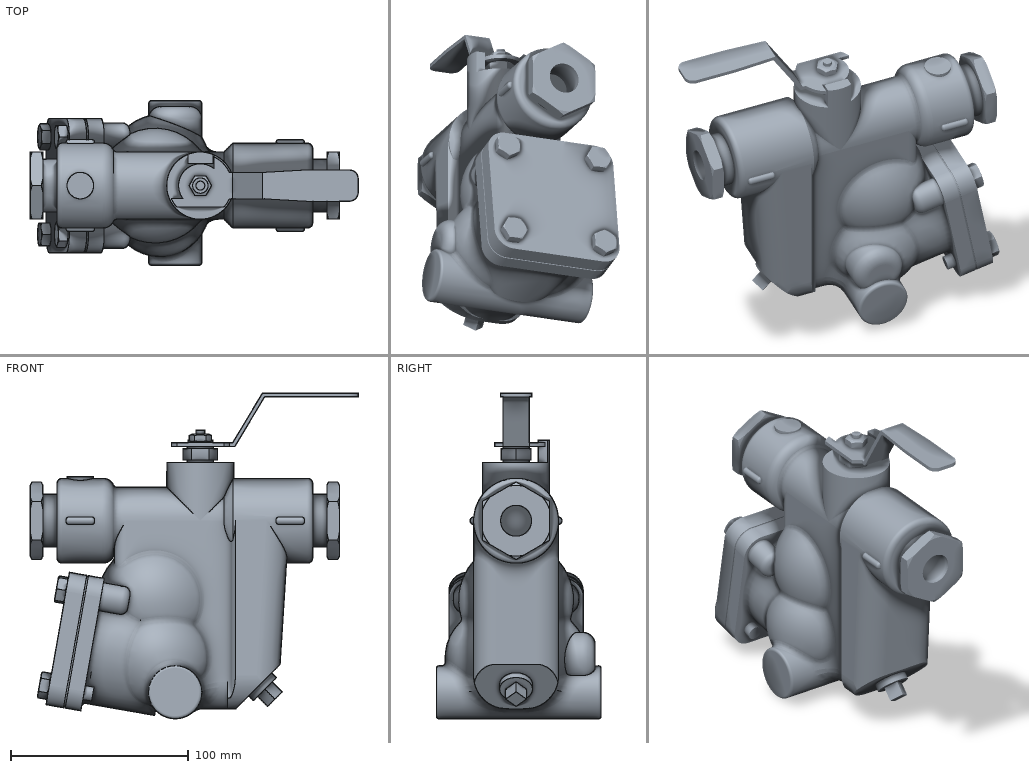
import cadquery as cq
import math


pipe_diameter = 38.0
socket_diameter = 48.0
pipe_radius = pipe_diameter / 2
socket_radius = socket_diameter / 2
inlet_end = -81.0
inlet_shoulder = -55.0
inlet_round = 6.5
inlet_round_length = 6.0
inlet_hollow_radius = 2.5
inlet_hollow_end = -46.7
outlet_end = 63.5
outlet_cone_start = 13.3
socket_edge_round = 3.0

reducer_neck_diameter = 30.0
reducer_neck_length = 7.9
reducer_hex_flats = 38.0
reducer_hex_length = 7.2
reducer_bore_diameter = 17.48
reducer_bore_depth = 18.0

rib_length = 16.0
rib_width = 4.2
rib_end_round = 1.5
rib_reach = 26.0
inlet_rib_x = -67.8
outlet_rib_x = 50.8
pad_diameter = 15.0
pad_top = 24.9

body_bottom = -106.2
wall_left = -48.5
wall_left_round = 6.5
wall_left_bottom = -45.0
narrow_wall_inner_x = -20.0
narrow_bottom_round = 15.0
wide_wall_start = 17.0
wide_wall_full = 19.8
wall_step_round = 2.5
wall_join_x = 15.4
wide_wall_right = 50.2
wide_wall_taper = 3.6
wide_side_round = 12.6
wide_bottom_round = 18.6
slant_start_x = 20.0

upper_ball_radius = 32.5
upper_ball_center = (-25.6, 0, -44.7)
lower_ball_radius = 28.0
lower_ball_x = -22.7
lower_ball_z = -77.6
lower_ball_spread = 12.2
chamber_diameter = 66.8
chamber_length = 61.5
blend_radius = 3.0

drain_diameter = 30.0
drain_half_span = 46.5
drain_shift = 1.5
drain_x = -14.2
drain_z = -96.9
drain_edge_round = 1.5
drain_blend_radius = 10.0
rear_lobe_diameter = 30.0
rear_lobe_reach = 44.7
rear_lobe_z = -78.0
rear_lobe_round = 7.0

cover_tilt = 10.0
cover_center = (-80.6, 0, -66.5)
cover_side = 76.0
cover_corner_radius = 11.0
cover_thickness = 10.0
gasket_thickness = 1.0
gasket_inset = 0.5
flange_thickness = 9.0
flange_blend_radius = 2.0
bolt_offset = 27.5
bolt_hex_flats = 13.0
bolt_head_height = 5.6
bolt_head_chamfer = 0.5
bolt_diameter = 8.0
bolt_tail_length = 5.0
bolt_boss_diameter = 16.0
bolt_boss_end = 36.0
bolt_boss_round = 4.0

bonnet_diameter = 38.0
bonnet_top = 33.0
stem_collar_diameter = 15.0
gland_flats = 17.0
gland_bottom = 34.2
gland_top = 40.7
lever_bottom = 41.9
lever_thickness = 2.2
lever_nut_flats = 11.0
lever_nut_height = 5.0
stem_diameter = 5.0
stem_top = 51.2
plate_radius = 18.0
plate_flat_y = -12.1
notch_radius = 12.3
notch_right_x = 7.6
notch_lower_y = -7.4
stop_width = 14.2
stop_inner_y = 12.5
stop_top = 45.5
lever_top = 72.12
lever_bend_x = 19.5
lever_knee_x = 36.3
lever_end_x = 89.2
lever_arm_width = 15.0
lever_grip_width = 17.7
lever_grip_start_x = 60.0
lever_corner_radius = 5.0

plug_collar_diameter = 18.5
plug_collar_height = 3.8
plug_corners = 11.7
plug_head_height = 8.0
plug_along_slant = 19.5

hex_chamfer = 1.0
overlap = 2.0


def hex_prism(plane, flats, height, first_corner=0.0, chamfer=0.0):
    """Hexagon standing on a plane; first_corner is the angle of one corner."""
    corners = flats / math.cos(math.pi / 6)
    prism = cq.Workplane(plane).transformed(rotate=(0, 0, first_corner)).polygon(6, corners).extrude(height)
    if chamfer:
        limit = cylinder(plane, corners, height).edges().chamfer(chamfer, 2 * chamfer)
        prism = prism.intersect(limit)
    return prism


def cylinder(plane, diameter, height):
    return cq.Workplane(plane).circle(diameter / 2).extrude(height)


def level(z):
    return cq.Plane(origin=(0, 0, z))


def across_plane(x, y, z):
    """Plane facing -Y through a point."""
    return cq.Plane(origin=(x, y, z), xDir=(1, 0, 0), normal=(0, -1, 0))


def pipe_run():
    step = socket_radius - pipe_radius
    shoulder_drop = inlet_round - math.sqrt(inlet_round**2 - inlet_round_length**2)
    profile = (
        cq.Workplane("XZ")
        .moveTo(inlet_end, 0)
        .lineTo(inlet_end, socket_radius - socket_edge_round)
        .radiusArc((inlet_end + socket_edge_round, socket_radius), socket_edge_round)
        .lineTo(inlet_shoulder, socket_radius)
        .radiusArc((inlet_shoulder + inlet_round_length, socket_radius - shoulder_drop), inlet_round)
        .radiusArc((inlet_hollow_end, pipe_radius), -inlet_hollow_radius)
        .lineTo(outlet_cone_start, pipe_radius)
        .lineTo(outlet_cone_start + step, socket_radius)
        .lineTo(outlet_end - socket_edge_round, socket_radius)
        .radiusArc((outlet_end, socket_radius - socket_edge_round), socket_edge_round)
        .lineTo(outlet_end, 0)
        .close()
    )
    return profile.revolve(360, (0, 0, 0), (1, 0, 0))


def reducer_plane(end_x, direction):
    return cq.Plane(origin=(end_x, 0, 0), xDir=(0, 0, 1), normal=(direction, 0, 0))


def reducer(end_x, direction):
    neck = cylinder(reducer_plane(end_x, direction), reducer_neck_diameter, reducer_neck_length)
    hex_plane = reducer_plane(end_x + direction * reducer_neck_length, direction)
    return neck.union(hex_prism(hex_plane, reducer_hex_flats, reducer_hex_length, chamfer=hex_chamfer))


def reducer_bore(end_x, direction):
    outer_x = end_x + direction * (reducer_neck_length + reducer_hex_length)
    return cylinder(reducer_plane(outer_x, direction), reducer_bore_diameter, -reducer_bore_depth)


def grip_rib(x, side):
    start = (x - rib_length / 2, side * (rib_reach - rib_width / 2), 0)
    rib = cylinder(cq.Plane(origin=start, xDir=(0, 1, 0), normal=(1, 0, 0)), rib_width, rib_length)
    return rib.edges().fillet(rib_end_round)


def rounded_channel(half_width, bottom_round):
    """Long bar along X with the two bottom edges rounded."""
    length = 2 * (outlet_end - inlet_end)
    bar = cq.Workplane("XY").box(length, 2 * half_width, -body_bottom)
    return bar.translate((0, 0, body_bottom / 2)).edges("|X and <Z").fillet(bottom_round)


def narrow_wall():
    outline = [
        (wall_left, 0),
        (wall_left, wall_left_bottom),
        (narrow_wall_inner_x, wall_left_bottom),
        (narrow_wall_inner_x, body_bottom),
        (slant_start_x, body_bottom),
        (slant_start_x, 0),
    ]
    wall = cq.Workplane("XZ").polyline(outline).close().extrude(pipe_radius, both=True)
    wall = wall.edges("|Z and <X").fillet(wall_left_round)
    return wall.intersect(rounded_channel(pipe_radius, narrow_bottom_round))


def wide_wall():
    taper = math.tan(math.radians(wide_wall_taper))
    slant_sum = slant_start_x - body_bottom
    corner_z = (wide_wall_right - slant_sum) / (1 - taper)
    corner_x = corner_z + slant_sum
    below = 2 * body_bottom
    side = [
        (wall_join_x, 0),
        (wall_join_x, below),
        (wide_wall_right + below * taper, below),
        (wide_wall_right, 0),
    ]
    wall = cq.Workplane("XZ").polyline(side).close().extrude(socket_radius, both=True)
    wall = wall.faces(">X").edges("not |Y").fillet(wide_side_round)
    outline = [
        (wall_join_x, 0),
        (wall_join_x, body_bottom),
        (slant_start_x, body_bottom),
        (corner_x, corner_z),
        (wide_wall_right, 0),
    ]
    wall = wall.intersect(cq.Workplane("XZ").polyline(outline).close().extrude(socket_radius, both=True))
    wall = wall.intersect(rounded_channel(socket_radius, wide_bottom_round))
    plan = [
        (wall_join_x, -pipe_radius),
        (wide_wall_start, -pipe_radius),
        (wide_wall_full, -socket_radius),
        (wide_wall_right, -socket_radius),
        (wide_wall_right, socket_radius),
        (wide_wall_full, socket_radius),
        (wide_wall_start, pipe_radius),
        (wall_join_x, pipe_radius),
    ]
    step = cq.Workplane("XY").polyline(plan).close().extrude(body_bottom)
    foot_margin = (wide_wall_start - wall_join_x) / 2
    step_foot = cq.selectors.BoxSelector(
        (wall_join_x + foot_margin, -socket_radius, body_bottom),
        (wide_wall_full - foot_margin, socket_radius, 0),
    )
    return wall.intersect(step.edges(step_foot).fillet(wall_step_round))


def cover_plane(depth, y=0.0, height=0.0):
    """Plane parallel to the cover face, depth behind it; local y runs up the cover."""
    tilt = math.radians(cover_tilt)
    outward = cq.Vector(-math.cos(tilt), 0, math.sin(tilt))
    up = cq.Vector(math.sin(tilt), 0, math.cos(tilt))
    origin = cq.Vector(*cover_center) - outward * depth + up * height + cq.Vector(0, y, 0)
    return cq.Plane(origin=origin, xDir=(0, -1, 0), normal=outward)


def square_plate(depth, thickness, inset=0.0):
    side = cover_side - 2 * inset
    plate = cq.Workplane(cover_plane(depth + thickness)).rect(side, side).extrude(thickness)
    corners = cq.selectors.ParallelDirSelector(cover_plane(0).zDir)
    return plate.edges(corners).fillet(cover_corner_radius - inset)


def chamber():
    flange_back = cover_thickness + gasket_thickness + flange_thickness
    return cylinder(cover_plane(chamber_length), chamber_diameter, chamber_length - flange_back)


def flange_blend():
    """Concave ring between the flange back and the chamber cylinder."""
    flange_back = cover_thickness + gasket_thickness + flange_thickness
    tilted = cover_plane(flange_back)
    section = cq.Plane(origin=tilted.origin, xDir=tilted.yDir, normal=(0, 1, 0))
    radius = chamber_diameter / 2
    ring = (
        cq.Workplane(section)
        .moveTo(radius - overlap, 0)
        .lineTo(radius + flange_blend_radius, 0)
        .radiusArc((radius, flange_blend_radius), flange_blend_radius)
        .lineTo(radius - overlap, flange_blend_radius)
        .close()
    )
    return ring.revolve(360, (0, 0, 0), (0, 1, 0))


def lower_balls():
    across = across_plane(lower_ball_x, lower_ball_spread, lower_ball_z)
    balls = cylinder(across, 2 * lower_ball_radius, 2 * lower_ball_spread)
    for side in (-1, 1):
        center = (lower_ball_x, side * lower_ball_spread, lower_ball_z)
        balls = balls.union(cq.Workplane("XY").sphere(lower_ball_radius).translate(center))
    return balls


def drain_bosses():
    plane = across_plane(drain_x, drain_half_span + drain_shift, drain_z)
    return cylinder(plane, drain_diameter, 2 * drain_half_span).edges().fillet(drain_edge_round)


def rear_lobe():
    plane = across_plane(drain_x, rear_lobe_reach, rear_lobe_z)
    return cylinder(plane, rear_lobe_diameter, rear_lobe_reach).faces(">Y").edges().fillet(rear_lobe_round)


def cover_assembly():
    flange_front = cover_thickness + gasket_thickness
    flange_back = flange_front + flange_thickness
    cover = square_plate(0, cover_thickness)
    cover = cover.union(square_plate(cover_thickness, gasket_thickness, gasket_inset))
    cover = cover.union(square_plate(flange_front, flange_thickness))
    for y in (-bolt_offset, bolt_offset):
        for height in (-bolt_offset, bolt_offset):
            corner_angle = 30 if y * height > 0 else 0
            seat = cover_plane(0, y, height)
            head = hex_prism(seat, bolt_hex_flats, bolt_head_height, corner_angle, bolt_head_chamfer)
            cover = cover.union(head)
            if height > 0:
                length = bolt_boss_end - flange_front
                boss = cylinder(cover_plane(bolt_boss_end, y, height), bolt_boss_diameter, length)
                cover = cover.union(boss.edges(">X").fillet(bolt_boss_round))
            else:
                length = flange_thickness + bolt_tail_length
                tail_end = cover_plane(flange_back + bolt_tail_length, y, height)
                tail = cylinder(tail_end, bolt_diameter, length)
                cover = cover.union(tail)
    return cover


def stem():
    parts = cylinder(level(0), bonnet_diameter, bonnet_top)
    parts = parts.union(cylinder(level(bonnet_top), stem_collar_diameter, lever_bottom - bonnet_top))
    parts = parts.union(hex_prism(level(gland_bottom), gland_flats, gland_top - gland_bottom))
    lever_face = lever_bottom + lever_thickness
    parts = parts.union(hex_prism(level(lever_face), lever_nut_flats, lever_nut_height, chamfer=hex_chamfer))
    return parts.union(cylinder(level(lever_bottom), stem_diameter, stem_top - lever_bottom))


def stop_post():
    post = cq.Workplane("XY").rect(stop_width, bonnet_diameter).extrude(stop_top)
    post = post.intersect(cylinder(level(0), bonnet_diameter, stop_top))
    clear = cq.Workplane("XY").rect(bonnet_diameter, bonnet_diameter).extrude(stop_top)
    return post.cut(clear.translate((0, stop_inner_y - bonnet_diameter / 2, 0)))


def lever_plate():
    span = 2 * plate_radius
    plate = cylinder(level(lever_bottom), 2 * plate_radius, lever_thickness)
    below_flat = cq.Workplane(level(lever_bottom)).center(0, plate_flat_y - span / 2).rect(span, span)
    plate = plate.cut(below_flat.extrude(lever_thickness))
    notch = cq.Workplane(level(lever_bottom)).center(notch_right_x - span / 2, notch_lower_y + span / 2)
    notch = notch.rect(span, span).extrude(lever_thickness)
    notch = notch.cut(cylinder(level(lever_bottom), 2 * notch_radius, lever_thickness))
    return plate.cut(notch)


def lever_arm():
    rise = lever_top - lever_thickness - lever_bottom
    slope = math.atan2(rise, lever_knee_x - lever_bend_x)
    shift = lever_thickness * math.tan(slope / 2)
    side = [
        (0, lever_bottom),
        (lever_bend_x, lever_bottom),
        (lever_knee_x, lever_top - lever_thickness),
        (lever_end_x, lever_top - lever_thickness),
        (lever_end_x, lever_top),
        (lever_knee_x - shift, lever_top),
        (lever_bend_x - shift, lever_bottom + lever_thickness),
        (0, lever_bottom + lever_thickness),
    ]
    arm = cq.Workplane("XZ").polyline(side).close().extrude(lever_grip_width, both=True)
    arm_half = lever_arm_width / 2
    grip_half = lever_grip_width / 2
    plan = [
        (0, -arm_half),
        (lever_knee_x, -arm_half),
        (lever_grip_start_x, -grip_half),
        (lever_end_x, -grip_half),
        (lever_end_x, grip_half),
        (lever_grip_start_x, grip_half),
        (lever_knee_x, arm_half),
        (0, arm_half),
    ]
    outline = cq.Workplane("XY").polyline(plan).close().extrude(lever_top)
    return arm.intersect(outline.edges("|Z and >X").fillet(lever_corner_radius))


def drain_plug():
    along = plug_along_slant * math.sqrt(0.5)
    base = cq.Vector(slant_start_x + along, 0, body_bottom + along)
    outward = cq.Vector(1, 0, -1).normalized()

    def plug_plane(distance):
        return cq.Plane(origin=base + outward * distance, xDir=(0, 1, 0), normal=outward)

    collar = cylinder(plug_plane(-overlap), plug_collar_diameter, plug_collar_height + overlap)
    head = cq.Workplane(plug_plane(plug_collar_height)).polygon(4, plug_corners).extrude(plug_head_height)
    return collar.union(head)


def shared_edges(solid):
    """Every edge with the two different faces that meet there; seams are left out."""
    neighbours = {}
    for face in solid.faces().vals():
        for edge in face.Edges():
            neighbours.setdefault(edge, []).append(face)
    return [
        (edge, faces)
        for edge, faces in neighbours.items()
        if len(faces) == 2 and not faces[0].isSame(faces[1])
    ]


def body_with_drains():
    body = narrow_wall().union(wide_wall()).union(drain_bosses())
    boss_right = drain_x + drain_diameter / 2
    feet = [
        edge
        for edge, faces in shared_edges(body)
        if abs(edge.Center().x - boss_right) < drain_blend_radius / 2
        and edge.Center().z < drain_z + drain_diameter / 2
        and abs(edge.Center().y) <= pipe_radius
    ]
    return body.newObject(feet).fillet(drain_blend_radius)


def casting():
    """Walls, drain bosses and float chamber with every ball blended into its neighbours."""
    body = body_with_drains()
    body = body.union(cq.Workplane("XY").sphere(upper_ball_radius).translate(upper_ball_center))
    body = body.union(chamber()).union(lower_balls())
    ball_edges = [
        edge
        for edge, faces in shared_edges(body)
        if "SPHERE" in (faces[0].geomType(), faces[1].geomType())
    ]
    body = body.newObject(ball_edges).fillet(blend_radius)
    return body.union(flange_blend()).union(rear_lobe()).union(pipe_run())


def pipe_fittings():
    fittings = cylinder(level(0), pad_diameter, pad_top).translate((inlet_rib_x, 0, 0))
    for end_x, direction, rib_x in ((inlet_end, -1, inlet_rib_x), (outlet_end, 1, outlet_rib_x)):
        fittings = fittings.union(reducer(end_x, direction))
        for side in (-1, 1):
            fittings = fittings.union(grip_rib(rib_x, side))
    return fittings


valve_top = stem().union(stop_post()).union(lever_plate()).union(lever_arm())
attachments = valve_top.union(drain_plug()).union(pipe_fittings())
bores = reducer_bore(inlet_end, -1).union(reducer_bore(outlet_end, 1))
result = casting().union(cover_assembly()).union(attachments).cut(bores)